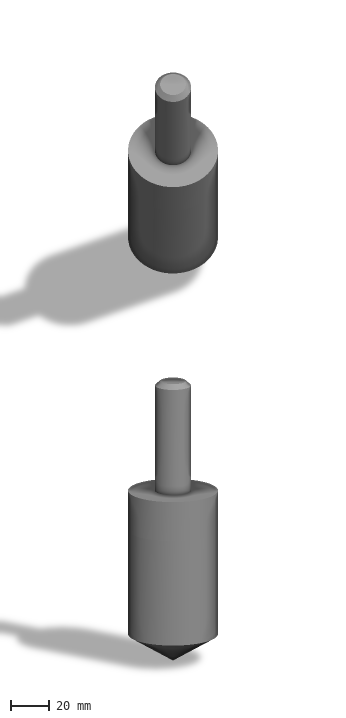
import cadquery as cq

total_length = 152.4
body_diameter = 47.4
shank_diameter = 19.0

cone_height = 14.5
seam_height = 71.3
shoulder_height = 92.7

bevel_height = 2.5
bevel_width = 2.7

body_radius = body_diameter / 2
shank_radius = shank_diameter / 2


def make_tip():
    """Round lower body ending in a cone that points down."""
    return (
        cq.Workplane("XZ")
        .moveTo(0, 0)
        .lineTo(body_radius, cone_height)
        .lineTo(body_radius, seam_height)
        .lineTo(0, seam_height)
        .close()
        .revolve(360, (0, 0), (0, 1))
    )


def make_holder():
    """Round collar resting on the tip, with a bevelled shank above it."""
    return (
        cq.Workplane("XZ")
        .moveTo(0, seam_height)
        .lineTo(body_radius, seam_height)
        .lineTo(body_radius, shoulder_height)
        .lineTo(shank_radius, shoulder_height)
        .lineTo(shank_radius, total_length - bevel_height)
        .lineTo(shank_radius - bevel_width, total_length)
        .lineTo(0, total_length)
        .close()
        .revolve(360, (0, 0), (0, 1))
    )


tip = make_tip()
holder = make_holder()

result = cq.Compound.makeCompound([tip.val(), holder.val()])